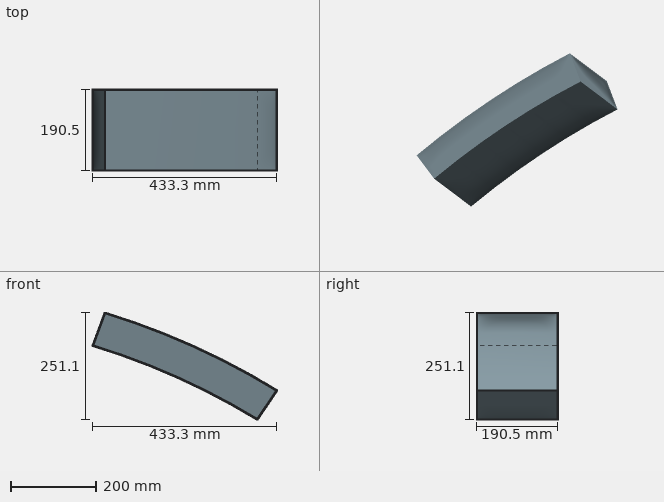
import cadquery as cq
import math

LENGTH_X = 433.32
WIDTH_Y = 190.5
HEIGHT_Z = 251.13
THICKNESS = 82.55

START_SLOPE = 20.2
END_SLOPE = 34.0

CROWN_X = 235.0
CROWN_Z = 173.4
CROWN_SLOPE = 24.9


def inner_point(outer_point, slope):
    """Point one thickness below an outer point, square to the given slope."""
    x, z = outer_point
    angle = math.radians(slope)
    return (x - THICKNESS * math.sin(angle), z - THICKNESS * math.cos(angle))


def curved_slab():
    """Bowed slab between two arcs, extruded symmetrically about Y = 0."""
    outer_start = (THICKNESS * math.sin(math.radians(START_SLOPE)), HEIGHT_Z)
    outer_crown = (CROWN_X, CROWN_Z)
    outer_end = (LENGTH_X, THICKNESS * math.cos(math.radians(END_SLOPE)))

    inner_start = inner_point(outer_start, START_SLOPE)
    inner_crown = inner_point(outer_crown, CROWN_SLOPE)
    inner_end = inner_point(outer_end, END_SLOPE)

    return (
        cq.Workplane("XZ", origin=(0, WIDTH_Y / 2, 0))
        .moveTo(*outer_start)
        .threePointArc(outer_crown, outer_end)
        .lineTo(*inner_end)
        .threePointArc(inner_crown, inner_start)
        .close()
        .extrude(WIDTH_Y)
    )


result = curved_slab()